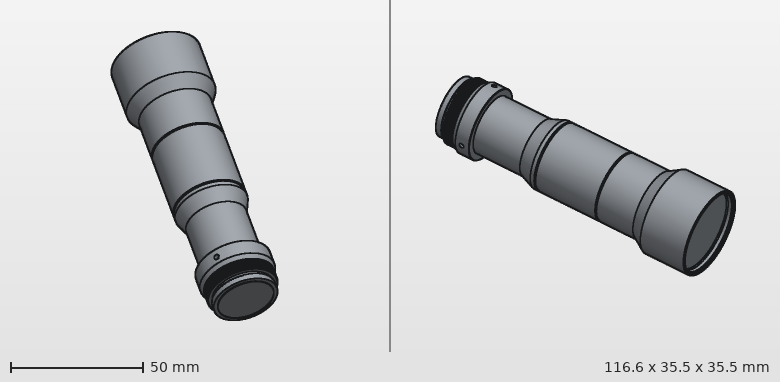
import cadquery as cq


TOTAL_LENGTH = 116.58
HEAD_END = 19.85
HEAD_CONE_END = 25.4
FRONT_JOINT = 42.3
REAR_JOINT = 70.0
REAR_CONE_START = 72.1
REAR_CONE_END = 78.4
MOUNT_START = 99.6
COLLAR_END = 105.8
COLLAR_CONE_END = 107.7
RIB_END = 112.45
FLANGE_START = 113.85
END_BOSS_LENGTH = 0.3

HEAD_RADIUS = 35.5 / 2
BARREL_RADIUS = 14.5
NECK_RADIUS = 12.15
COLLAR_RADIUS = 15.0
RIB_RADIUS = 14.0
RIB_GROOVE_RADIUS = 13.65
FLANGE_RADIUS = 12.7
END_BOSS_RADIUS = 11.1

RIM_CHAMFER = 0.3
COUNTERBORE_RADIUS = 16.95
COUNTERBORE_DEPTH = 0.5
BORE_STEP_RADIUS = 16.7
BORE_STEP_DEPTH = 1.0
RECESS_RADIUS = 16.4
RECESS_DEPTH = 3.2
WINDOW_RADIUS = 16.1
WINDOW_CONE_LENGTH = 0.6

JOINT_CHAMFER = 0.35
COLLAR_CHAMFER = 0.2

RIB_COUNT = 3
RIB_GROOVE_WIDTH = 0.6
RIB_CHAMFER = RIB_RADIUS - RIB_GROOVE_RADIUS

SCREW_HOLE_DIAMETER = 2.0
SCREW_HOLE_STATION = 103.0
SCREW_HOLE_COUNT = 3


def revolve_profile(points):
    """Revolve an outline of (x, radius) points about the X axis."""
    return cq.Workplane("XY").polyline(points).close().revolve(360, (0, 0, 0), (1, 0, 0))


def make_front_barrel():
    return revolve_profile([
        (RECESS_DEPTH, 0),
        (RECESS_DEPTH, WINDOW_RADIUS),
        (RECESS_DEPTH - WINDOW_CONE_LENGTH, RECESS_RADIUS),
        (BORE_STEP_DEPTH, RECESS_RADIUS),
        (BORE_STEP_DEPTH, BORE_STEP_RADIUS),
        (COUNTERBORE_DEPTH, BORE_STEP_RADIUS),
        (COUNTERBORE_DEPTH, COUNTERBORE_RADIUS),
        (0, COUNTERBORE_RADIUS),
        (0, HEAD_RADIUS - RIM_CHAMFER),
        (RIM_CHAMFER, HEAD_RADIUS),
        (HEAD_END, HEAD_RADIUS),
        (HEAD_CONE_END, BARREL_RADIUS),
        (FRONT_JOINT - JOINT_CHAMFER, BARREL_RADIUS),
        (FRONT_JOINT, BARREL_RADIUS - JOINT_CHAMFER),
        (FRONT_JOINT, 0),
    ])


def make_middle_barrel():
    return revolve_profile([
        (FRONT_JOINT, 0),
        (FRONT_JOINT, BARREL_RADIUS - JOINT_CHAMFER),
        (FRONT_JOINT + JOINT_CHAMFER, BARREL_RADIUS),
        (REAR_JOINT - JOINT_CHAMFER, BARREL_RADIUS),
        (REAR_JOINT, BARREL_RADIUS - JOINT_CHAMFER),
        (REAR_JOINT, 0),
    ])


def make_rear_barrel():
    return revolve_profile([
        (REAR_JOINT, 0),
        (REAR_JOINT, BARREL_RADIUS - JOINT_CHAMFER),
        (REAR_JOINT + JOINT_CHAMFER, BARREL_RADIUS),
        (REAR_CONE_START, BARREL_RADIUS),
        (REAR_CONE_END, NECK_RADIUS),
        (MOUNT_START, NECK_RADIUS),
        (MOUNT_START, 0),
    ])


def rib_outline():
    """Outline over the ribs, from the collar cone to the last rib's rear face."""
    gap_count = RIB_COUNT - 1
    gap_width = RIB_GROOVE_WIDTH + 2 * RIB_CHAMFER
    crest_width = (RIB_END - RIB_CHAMFER - COLLAR_CONE_END - gap_count * gap_width) / RIB_COUNT
    points = [(COLLAR_CONE_END, RIB_RADIUS)]
    for gap in range(gap_count):
        gap_start = COLLAR_CONE_END + crest_width + gap * (crest_width + gap_width)
        floor_start = gap_start + RIB_CHAMFER
        floor_end = floor_start + RIB_GROOVE_WIDTH
        points += [
            (gap_start, RIB_RADIUS),
            (floor_start, RIB_GROOVE_RADIUS),
            (floor_end, RIB_GROOVE_RADIUS),
            (floor_end + RIB_CHAMFER, RIB_RADIUS),
        ]
    points += [(RIB_END - RIB_CHAMFER, RIB_RADIUS), (RIB_END, RIB_GROOVE_RADIUS)]
    return points


def screw_hole(angle):
    """Radial cutter from outside the collar down to the neck radius, turned about X from +Y."""
    hole = (
        cq.Workplane("XZ", origin=(SCREW_HOLE_STATION, NECK_RADIUS, 0))
        .circle(SCREW_HOLE_DIAMETER / 2)
        .extrude(-COLLAR_RADIUS)
    )
    return hole.rotate((0, 0, 0), (1, 0, 0), angle)


def make_mount():
    flange_end = TOTAL_LENGTH - END_BOSS_LENGTH
    mount = revolve_profile([
        (MOUNT_START, 0),
        (MOUNT_START, COLLAR_RADIUS - COLLAR_CHAMFER),
        (MOUNT_START + COLLAR_CHAMFER, COLLAR_RADIUS),
        (COLLAR_END, COLLAR_RADIUS),
        *rib_outline(),
        (RIB_END, NECK_RADIUS),
        (FLANGE_START, NECK_RADIUS),
        (FLANGE_START, FLANGE_RADIUS),
        (flange_end, FLANGE_RADIUS),
        (flange_end, END_BOSS_RADIUS),
        (TOTAL_LENGTH, END_BOSS_RADIUS),
        (TOTAL_LENGTH, 0),
    ])
    for index in range(SCREW_HOLE_COUNT):
        mount = mount.cut(screw_hole(index * 360 / SCREW_HOLE_COUNT))
    return mount


front_barrel = make_front_barrel()
middle_barrel = make_middle_barrel()
rear_barrel = make_rear_barrel()
mount = make_mount()

result = cq.Compound.makeCompound([
    front_barrel.val(),
    middle_barrel.val(),
    rear_barrel.val(),
    mount.val(),
])